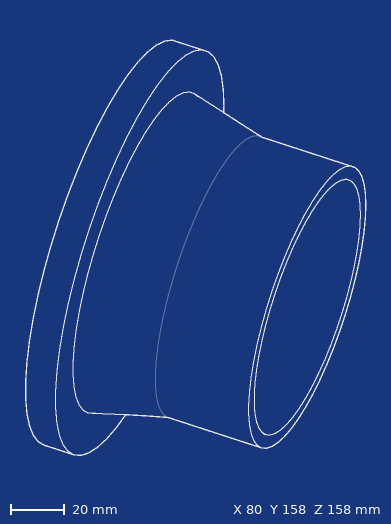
import cadquery as cq

total_length = 80.0
flange_diameter = 158.0
flange_thickness = 12.2
cone_base_diameter = 125.1
cone_end = 42.2
pipe_diameter = 110.0
bore_diameter = 99.5

bore_radius = bore_diameter / 2
flange_radius = flange_diameter / 2
cone_base_radius = cone_base_diameter / 2
pipe_radius = pipe_diameter / 2

half_section = (
    cq.Workplane("XY")
    .moveTo(0, bore_radius)
    .lineTo(0, flange_radius)
    .lineTo(flange_thickness, flange_radius)
    .lineTo(flange_thickness, cone_base_radius)
    .lineTo(cone_end, pipe_radius)
    .lineTo(total_length, pipe_radius)
    .lineTo(total_length, bore_radius)
    .close()
)

result = half_section.revolve(360, (0, 0, 0), (1, 0, 0))